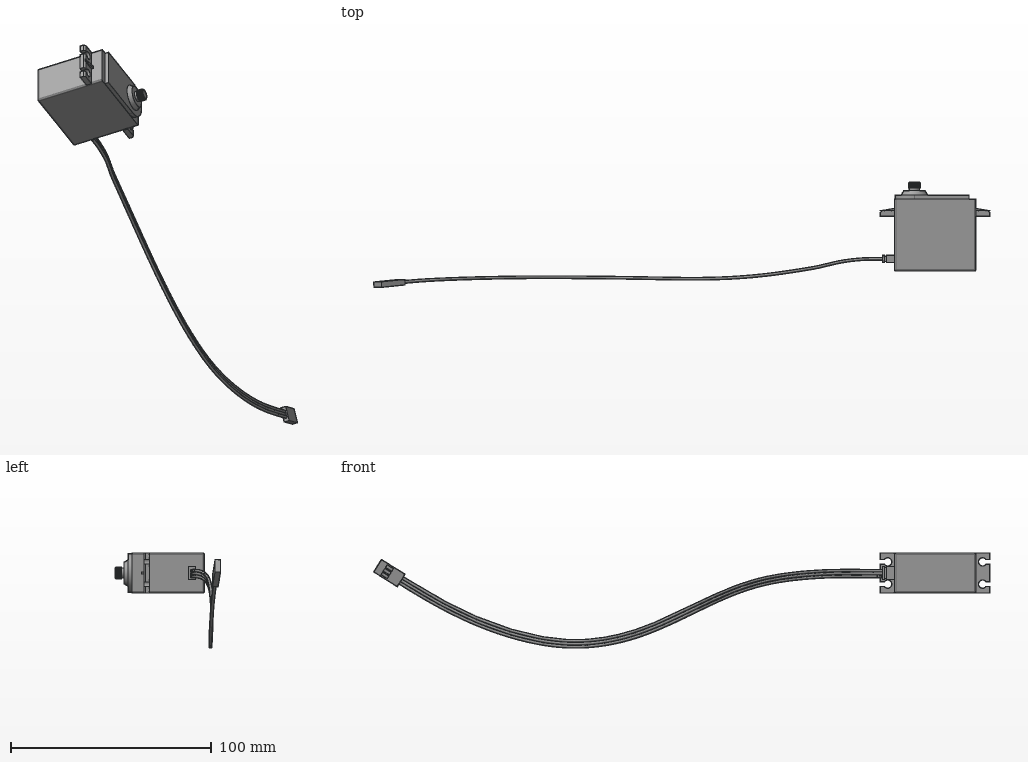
import cadquery as cq
import math


CASE_LENGTH = 40.5
CASE_DEPTH = 36.0
CASE_HEIGHT = 20.0
CASE_FILLET = 0.77

LID_THICKNESS = 2.0
LID_END_X = 37.0
LID_INSET = 0.3
LID_RADIUS = CASE_HEIGHT / 2 - LID_INSET
AXIS_X = CASE_HEIGHT / 2

BOSS_BASE_DIAMETER = 13.2
BOSS_TOP_DIAMETER = 10.7
BOSS_HEIGHT = 2.0

TAB_REACH = 7.0
TAB_THICKNESS = 2.8
TAB_Y = 27.3
TAB_CHAMFER = 1.0
TAB_HOLE_DIAMETER = 4.0
TAB_HOLE_SPACING = 11.0
TAB_HOLE_INSET = 3.7
TAB_SLOT_WIDTH = 2.0
RIB_WIDTH = 1.2
RIB_HEIGHT = 1.2

SHAFT_END_Y = 44.5
NECK_DIAMETER = 5.2
NECK_LENGTH = 1.2
SPLINE_DIAMETER = 5.8
SPLINE_TEETH = 25
SHAFT_CHAMFER = 0.5

GROMMET_Y = 6.0
GROMMET_THICKNESS = 3.7
GROMMET_WIDTH = 6.5
GROMMET_REACH = 5.8
FLANGE_LENGTH = 1.0
GROOVE_LENGTH = 1.0
GROOVE_DEPTH = 0.45

WIRE_COUNT = 3
WIRE_DIAMETER = 1.4
WIRE_PITCH = 1.45
CABLE_END_Z = -0.3
PATH_SAMPLES = 24

PLUG_LENGTH = 13.8
PLUG_WIDTH = 7.5
PLUG_THICKNESS = 2.8
PLUG_ANGLE = 32
PLUG_TILT = 5
PLUG_REAR = cq.Vector(-245.5, -5.5, -3.7)
WINDOW_LENGTH = 3.7
WINDOW_WIDTH = 1.5
WINDOW_PITCH = 2.0
WINDOW_DEPTH = 0.5
WINDOW_INSET = 3.7

LID_TOP_Y = CASE_DEPTH + LID_THICKNESS
BOSS_TOP_Y = LID_TOP_Y + BOSS_HEIGHT
CABLE_END = cq.Vector(-GROMMET_REACH, GROMMET_Y, CABLE_END_Z)

PLUG_FRAME = cq.Location(PLUG_REAR, cq.Vector(0, 1, 0), PLUG_ANGLE) * cq.Location(
    cq.Vector(0, 0, 0), cq.Vector(0, 0, 1), PLUG_TILT
)
CABLE_POINTS = [
    PLUG_REAR,
    cq.Vector(-215.0, -3.7, -21.0),
    cq.Vector(-184.2, -3.0, -32.0),
    cq.Vector(-159.5, -3.0, -35.3),
    cq.Vector(-129.0, -3.5, -30.5),
    cq.Vector(-92.0, -3.7, -14.0),
    cq.Vector(-61.5, -1.5, -3.5),
    cq.Vector(-30.7, 3.7, -0.3),
    CABLE_END,
]


def plate_at(y, thickness):
    """Workplane whose extrusions fill the layer from y to y + thickness along +Y."""
    return cq.Workplane("XZ", origin=(0, y + thickness, 0))


def make_lid():
    """Thin lid, slightly narrower than the case, with a half-round end."""
    straight = LID_END_X - AXIS_X
    block = (
        plate_at(CASE_DEPTH, LID_THICKNESS)
        .center(AXIS_X + straight / 2, 0)
        .rect(straight, 2 * LID_RADIUS)
        .extrude(LID_THICKNESS)
    )
    round_end = (
        plate_at(CASE_DEPTH, LID_THICKNESS)
        .center(AXIS_X, 0)
        .circle(LID_RADIUS)
        .extrude(LID_THICKNESS)
    )
    return block.union(round_end)


def make_boss():
    """Conical boss around the output axis."""
    return (
        cq.Workplane("XY", origin=(AXIS_X, 0, 0))
        .moveTo(0, LID_TOP_Y)
        .lineTo(BOSS_BASE_DIAMETER / 2, LID_TOP_Y)
        .lineTo(BOSS_TOP_DIAMETER / 2, BOSS_TOP_Y)
        .lineTo(0, BOSS_TOP_Y)
        .close()
        .revolve(360, (0, 0, 0), (0, 1, 0))
    )


def make_tab():
    """Tab on the -X wall, with a chamfered end, two keyhole slots and a sloped centre rib."""
    tab = cq.Workplane("XY").box(TAB_REACH, TAB_THICKNESS, CASE_HEIGHT).translate(
        (-TAB_REACH / 2, TAB_Y + TAB_THICKNESS / 2, 0)
    )
    tab = tab.faces("<X").edges(">Y").chamfer(TAB_CHAMFER)
    hole_x = TAB_HOLE_INSET - TAB_REACH
    for z in (-TAB_HOLE_SPACING / 2, TAB_HOLE_SPACING / 2):
        sheet = plate_at(TAB_Y, TAB_THICKNESS)
        tab = tab.cut(sheet.center(hole_x, z).circle(TAB_HOLE_DIAMETER / 2).extrude(TAB_THICKNESS))
        tab = tab.cut(
            sheet.center(hole_x - TAB_HOLE_INSET / 2, z)
            .rect(TAB_HOLE_INSET, TAB_SLOT_WIDTH)
            .extrude(TAB_THICKNESS)
        )
    tab_top = TAB_Y + TAB_THICKNESS
    rib = (
        cq.Workplane("XY")
        .polyline([(0, tab_top), (-TAB_REACH, tab_top), (0, tab_top + RIB_HEIGHT)])
        .close()
        .extrude(RIB_WIDTH / 2, both=True)
    )
    return tab.union(rib)


def make_housing():
    """Case, lid, boss and both mounting tabs as one solid."""
    case = cq.Workplane("XY").box(CASE_LENGTH, CASE_DEPTH, CASE_HEIGHT).translate(
        (CASE_LENGTH / 2, CASE_DEPTH / 2, 0)
    )
    case = case.edges("|Y or <Y").fillet(CASE_FILLET)
    left_tab = make_tab()
    right_tab = left_tab.mirror("YZ").translate((CASE_LENGTH, 0, 0))
    return case.union(make_lid()).union(make_boss()).union(left_tab).union(right_tab)


def make_shaft():
    """Round neck below a toothed spline with a chamfered tip."""
    length = SHAFT_END_Y - BOSS_TOP_Y
    points = []
    for i in range(2 * SPLINE_TEETH):
        radius = (SPLINE_DIAMETER if i % 2 == 0 else NECK_DIAMETER) / 2
        angle = math.pi * i / SPLINE_TEETH
        points.append((radius * math.cos(angle), radius * math.sin(angle)))
    top = cq.Workplane("XZ", origin=(AXIS_X, SHAFT_END_Y, 0))
    spline = top.polyline(points).close().extrude(length - NECK_LENGTH)
    neck = top.circle(NECK_DIAMETER / 2).extrude(length)
    envelope = top.circle(SPLINE_DIAMETER / 2).extrude(length).faces(">Y").chamfer(SHAFT_CHAMFER)
    return spline.union(neck).intersect(envelope)


def make_grommet():
    """Rectangular strain relief with a groove all round behind its end flange."""
    body = (
        cq.Workplane("YZ", origin=(-GROMMET_REACH, GROMMET_Y, 0))
        .rect(GROMMET_THICKNESS, GROMMET_WIDTH)
        .extrude(GROMMET_REACH)
    )
    groove_start = FLANGE_LENGTH - GROMMET_REACH
    groove = (
        cq.Workplane("YZ", origin=(groove_start, GROMMET_Y, 0))
        .rect(GROMMET_THICKNESS, GROMMET_WIDTH)
        .rect(GROMMET_THICKNESS - 2 * GROOVE_DEPTH, GROMMET_WIDTH - 2 * GROOVE_DEPTH)
        .extrude(GROOVE_LENGTH)
    )
    return body.cut(groove)


def make_wire(offset, centre_line):
    """Wire beside the cable centre line, shifted across it in the XZ direction."""
    points = []
    tangents = []
    for i in range(PATH_SAMPLES + 1):
        place = i / PATH_SAMPLES
        tangent = centre_line.tangentAt(place)
        across = tangent.cross(cq.Vector(0, 1, 0)).normalized()
        points.append(centre_line.positionAt(place) + across * offset)
        tangents.append(tangent)
    path = cq.Wire.assembleEdges([cq.Edge.makeSpline(points, tangents=[tangents[0], tangents[-1]])])
    section = cq.Workplane(cq.Plane(points[0], normal=tangents[0]))
    return section.circle(WIRE_DIAMETER / 2).sweep(cq.Workplane(path))


def make_plug():
    """Flat plug with three shallow windows, its rear face centred on PLUG_REAR."""
    plug = cq.Workplane("XY").box(PLUG_LENGTH, PLUG_THICKNESS, PLUG_WIDTH).translate(
        (-PLUG_LENGTH / 2, 0, 0)
    )
    windows = (
        plug.faces("<Y")
        .workplane(origin=(WINDOW_INSET + WINDOW_LENGTH / 2 - PLUG_LENGTH, 0, 0))
        .rarray(WINDOW_LENGTH, WINDOW_PITCH, 1, WIRE_COUNT)
        .rect(WINDOW_LENGTH, WINDOW_WIDTH)
        .extrude(-WINDOW_DEPTH, combine=False)
    )
    return cq.Workplane(plug.cut(windows).val().moved(PLUG_FRAME))


housing = make_housing()
shaft = make_shaft()
grommet = make_grommet()
plug = make_plug()

plug_axis_point = cq.Vector(*(PLUG_FRAME * cq.Location(cq.Vector(3, 0, 0))).toTuple()[0])
cable = cq.Edge.makeSpline(
    CABLE_POINTS, tangents=[plug_axis_point - PLUG_REAR, cq.Vector(1, 0, 0)]
)
wires = [make_wire((i - (WIRE_COUNT - 1) / 2) * WIRE_PITCH, cable) for i in range(WIRE_COUNT)]

result = cq.Compound.makeCompound(
    [housing.val(), shaft.val(), grommet.val(), plug.val(), *[wire.val() for wire in wires]]
)